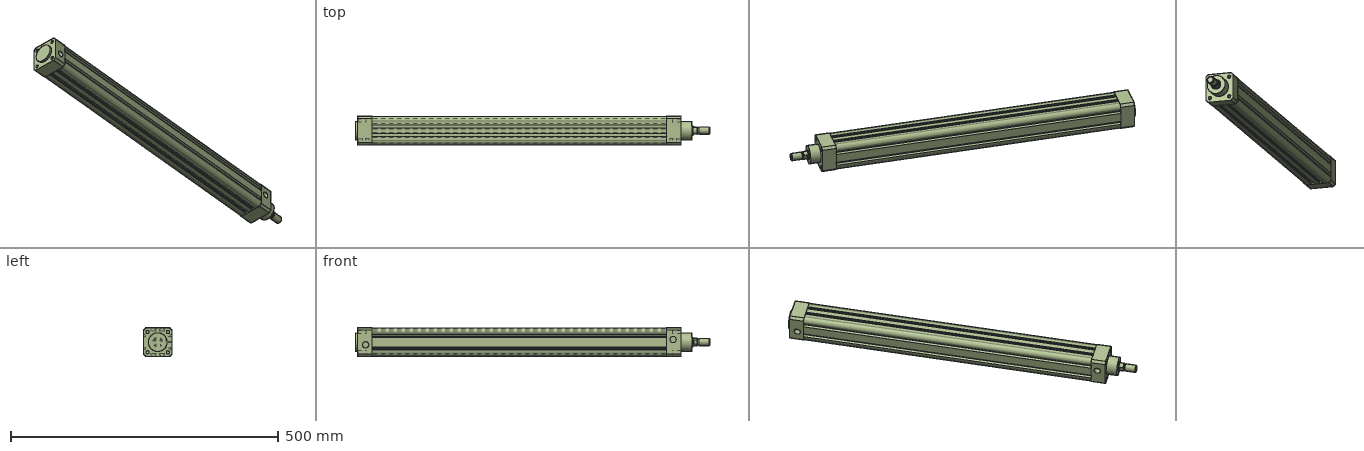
import cadquery as cq


WIDTH = 54.0
BODY_LENGTH = 605.0
CAP_LENGTH = 27.0
TUBE_LENGTH = BODY_LENGTH - 2 * CAP_LENGTH
FRONT_CAP_START = BODY_LENGTH - CAP_LENGTH

CAP_CORNER_CHAMFER = 4.5
COLLAR_DIAMETER = 35.0
REAR_COLLAR_LENGTH = 4.0
FRONT_COLLAR_LENGTH = 20.0
PORT_DIAMETER = 11.8
PORT_DEPTH = 12.0
PORT_INSET = 15.0
PORT_OFFSET = 5.0
SCREW_PITCH = 38.0
SCREW_HOLE_DIAMETER = 6.0
SCREW_HOLE_DEPTH = 16.0

TUBE_WIDTH = 53.8
TUBE_CORNER_RADIUS = 8.5
T_SLOT_OFFSET = 8.0
T_SLOT_MOUTH = 6.0
T_SLOT_HEAD = 10.0
T_SLOT_LIP = 2.5
T_SLOT_DEPTH = 6.0
V_GROOVE_OFFSET = 12.0
V_GROOVE_MOUTH = 6.0
V_GROOVE_FLOOR = 2.0
V_GROOVE_DEPTH = 4.0

ROD_BASE = BODY_LENGTH + FRONT_COLLAR_LENGTH
SHOULDER_DIAMETER = 18.0
SHOULDER_END = 2.0
ROD_DIAMETER = 15.0
FLATS_START = 4.0
FLATS_WIDTH = 13.0
ROD_END = 10.0
TAPER_END = 11.0
NECK_DIAMETER = 11.0
NECK_END = 13.0
THREAD_DIAMETER = 14.0
THREAD_END = 34.0
THREAD_CHAMFER = 1.5


def yz_plane(x):
    """Sketch plane across the cylinder axis; local x is Y and local y is Z."""
    return cq.Workplane("YZ", origin=(x, 0, 0))


def make_cap(block_start, block_face, collar_end, port_x, port_z):
    """Chamfered square block with a round collar on its outer face, four screw holes and a -Y port."""
    inward = -1 if collar_end > block_face else 1
    block = yz_plane(block_start).rect(WIDTH, WIDTH).extrude(CAP_LENGTH)
    block = block.edges("|X").chamfer(CAP_CORNER_CHAMFER)
    collar = yz_plane(block_face).circle(COLLAR_DIAMETER / 2).extrude(collar_end - block_face)
    screw_holes = (
        yz_plane(block_face)
        .rect(SCREW_PITCH, SCREW_PITCH, forConstruction=True)
        .vertices()
        .circle(SCREW_HOLE_DIAMETER / 2)
        .extrude(inward * SCREW_HOLE_DEPTH)
    )
    port = (
        cq.Workplane("XZ", origin=(port_x, -WIDTH / 2, port_z))
        .circle(PORT_DIAMETER / 2)
        .extrude(-PORT_DEPTH)
    )
    return block.union(collar).cut(screw_holes).cut(port)


def make_groove(centre, half_profile):
    """Full-length cutter in the +Z side, mirrored about its centre line from (half width, depth) points."""
    left = [(centre - half, TUBE_WIDTH / 2 - depth) for half, depth in half_profile]
    right = [(centre + half, TUBE_WIDTH / 2 - depth) for half, depth in reversed(half_profile)]
    return yz_plane(CAP_LENGTH).polyline(left + right).close().extrude(TUBE_LENGTH)


def make_tube():
    """Rounded square extrusion with two T-slots in each Z side and two tapered grooves in each Y side."""
    t_slot = [
        (T_SLOT_MOUTH / 2, 0),
        (T_SLOT_MOUTH / 2, T_SLOT_LIP),
        (T_SLOT_HEAD / 2, T_SLOT_LIP),
        (T_SLOT_HEAD / 2, T_SLOT_DEPTH),
    ]
    v_groove = [
        (V_GROOVE_MOUTH / 2, 0),
        (V_GROOVE_FLOOR / 2, V_GROOVE_DEPTH),
    ]
    tube = yz_plane(CAP_LENGTH).rect(TUBE_WIDTH, TUBE_WIDTH).extrude(TUBE_LENGTH)
    tube = tube.edges("|X").fillet(TUBE_CORNER_RADIUS)
    grooves = [
        (t_slot, T_SLOT_OFFSET, (0, 180)),
        (v_groove, V_GROOVE_OFFSET, (90, 270)),
    ]
    for half_profile, offset, side_angles in grooves:
        for angle in side_angles:
            for centre in (-offset, offset):
                cutter = make_groove(centre, half_profile)
                tube = tube.cut(cutter.rotate((0, 0, 0), (1, 0, 0), angle))
    return tube


def rod_section(diameter, start, end):
    """Round length of the rod between two distances from the front collar."""
    return yz_plane(ROD_BASE + start).circle(diameter / 2).extrude(end - start)


def make_rod():
    """Protruding rod end: shoulder, rod with two wrench flats, tapered neck and chamfered thread blank."""
    shoulder = rod_section(SHOULDER_DIAMETER, 0, SHOULDER_END)
    round_rod = rod_section(ROD_DIAMETER, SHOULDER_END, FLATS_START)
    flats_block = (
        yz_plane(ROD_BASE + FLATS_START)
        .rect(FLATS_WIDTH, ROD_DIAMETER)
        .extrude(ROD_END - FLATS_START)
    )
    flatted_rod = rod_section(ROD_DIAMETER, FLATS_START, ROD_END).intersect(flats_block)
    taper = (
        yz_plane(ROD_BASE + ROD_END)
        .circle(THREAD_DIAMETER / 2)
        .workplane(offset=TAPER_END - ROD_END)
        .circle(NECK_DIAMETER / 2)
        .loft()
    )
    neck = rod_section(NECK_DIAMETER, TAPER_END, NECK_END)
    thread = rod_section(THREAD_DIAMETER, NECK_END, THREAD_END).faces(">X").chamfer(THREAD_CHAMFER)
    return shoulder.union(round_rod).union(flatted_rod).union(taper).union(neck).union(thread)


rear_cap = make_cap(0, 0, -REAR_COLLAR_LENGTH, PORT_INSET, -PORT_OFFSET)
front_cap = make_cap(FRONT_CAP_START, BODY_LENGTH, ROD_BASE, BODY_LENGTH - PORT_INSET, PORT_OFFSET)
tube = make_tube()
rod = make_rod()

result = cq.Compound.makeCompound([rear_cap.val(), front_cap.val(), tube.val(), rod.val()])